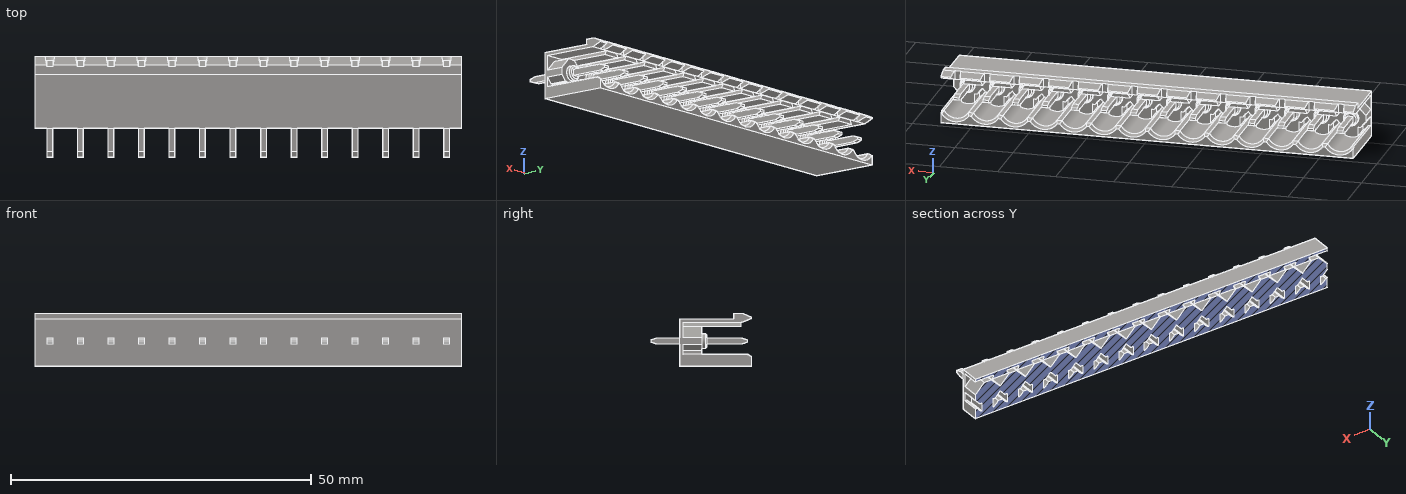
import cadquery as cq


POLE_COUNT = 14
PITCH = 5.08
LENGTH = 71.01
POLE_X = [(i - (POLE_COUNT - 1) / 2) * PITCH for i in range(POLE_COUNT)]
GAP_X = [x + PITCH / 2 for x in POLE_X[:-1]]

DEPTH = 12.0
CAVITY_REAR = 0.6
FLOOR_Z = 2.0
ROOF_BOTTOM = 7.3
ROOF_TOP = 7.9
FLOOR_LEAD_IN_Y = 0.65
FLOOR_LEAD_IN_Z = 0.4

LATCH_TOP = 8.8
LATCH_LENGTH = 3.0
NOSE_Z = 8.05
NOSE_TIP_HEIGHT = 0.2
NOSE_TOP_RUN = 1.45
NOSE_BOTTOM_RUN = 1.6

NOTCH_FRONT_WIDTH = 1.6
NOTCH_REAR_WIDTH = 1.0
NOTCH_DEPTH = 1.65

PIN_Z = 4.2
PIN_SIZE = 1.05
PIN_WIDTH = 1.0
PIN_TAIL = 4.8
PIN_FRONT_RECESS = 0.7
PIN_TIP_HEIGHT = 0.4
PIN_TAPER = 1.0

BLOCK_FRONT = 3.7
BLOCK_SIDE_HALF_HEIGHT = 0.54
BLOCK_BOTTOM_SLOPE_WIDTH = 0.97
BLOCK_NECK_HALF_WIDTH = 1.15
BLOCK_BOTTOM_SLOPE_HEIGHT = 1.05
BLOCK_TOP_HALF_WIDTH = 0.72
COLLAR_RADIUS = 1.25
COLLAR_LENGTH = 0.85
COLLAR_CHAMFER = 0.25

TROUGH_HALF_WIDTH = 2.1
TROUGH_DEPTH = 1.2
TROUGH_RADIUS = (TROUGH_HALF_WIDTH**2 + TROUGH_DEPTH**2) / (2 * TROUGH_DEPTH)

BAR_BOTTOM = 6.6
BAR_FRONT_RECESS = 1.75
BAR_TOP_WIDTH = 2.7
BAR_BOTTOM_WIDTH = 3.4


def extrude_along_x(points, x_start, length):
    """Extrude an outline of (y, z) points in the +X direction."""
    return cq.Workplane("YZ").workplane(offset=x_start).polyline(points).close().extrude(length)


def extrude_along_y(points, y_start, y_end):
    """Extrude an outline of (x, z) points from y_start forward to y_end."""
    plane = cq.Workplane("XZ").workplane(offset=-y_start)
    return plane.polyline(points).close().extrude(y_start - y_end)


def make_housing():
    section = [
        (0, 0),
        (DEPTH, 0),
        (DEPTH, FLOOR_Z - FLOOR_LEAD_IN_Z),
        (DEPTH - FLOOR_LEAD_IN_Y, FLOOR_Z),
        (CAVITY_REAR, FLOOR_Z),
        (CAVITY_REAR, ROOF_BOTTOM),
        (DEPTH - NOSE_BOTTOM_RUN, ROOF_BOTTOM),
        (DEPTH, NOSE_Z - NOSE_TIP_HEIGHT / 2),
        (DEPTH, NOSE_Z + NOSE_TIP_HEIGHT / 2),
        (DEPTH - NOSE_TOP_RUN, LATCH_TOP),
        (DEPTH - LATCH_LENGTH, LATCH_TOP),
        (DEPTH - LATCH_LENGTH, ROOF_TOP),
        (0, ROOF_TOP),
    ]
    return extrude_along_x(section, -LENGTH / 2, LENGTH)


def make_notch(x):
    front = NOTCH_FRONT_WIDTH / 2
    rear = NOTCH_REAR_WIDTH / 2
    y_rear = DEPTH - NOTCH_DEPTH
    outline = [(x - front, DEPTH), (x + front, DEPTH), (x + rear, y_rear), (x - rear, y_rear)]
    height = LATCH_TOP - ROOF_BOTTOM
    return cq.Workplane("XY").workplane(offset=ROOF_BOTTOM).polyline(outline).close().extrude(height)


def make_trough(x):
    centre_z = FLOOR_Z - TROUGH_DEPTH + TROUGH_RADIUS
    front_radius = TROUGH_RADIUS + FLOOR_LEAD_IN_Z
    y_lead_in = DEPTH - FLOOR_LEAD_IN_Y
    axis_plane = cq.Workplane("XY", origin=(x, 0, centre_z))
    half_outline = [
        (0, CAVITY_REAR),
        (TROUGH_RADIUS, CAVITY_REAR),
        (TROUGH_RADIUS, y_lead_in),
        (front_radius, DEPTH),
        (0, DEPTH),
    ]
    return axis_plane.polyline(half_outline).close().revolve(360, (0, 0), (0, 1))


def make_bar(x):
    top = BAR_TOP_WIDTH / 2
    bottom = BAR_BOTTOM_WIDTH / 2
    outline = [
        (x - bottom, BAR_BOTTOM),
        (x + bottom, BAR_BOTTOM),
        (x + top, ROOF_BOTTOM),
        (x - top, ROOF_BOTTOM),
    ]
    return extrude_along_y(outline, CAVITY_REAR, DEPTH - BAR_FRONT_RECESS)


def make_block(x):
    half_width = PITCH / 2
    slope_inner = half_width - BLOCK_BOTTOM_SLOPE_WIDTH
    side_bottom = PIN_Z - BLOCK_SIDE_HALF_HEIGHT
    side_top = PIN_Z + BLOCK_SIDE_HALF_HEIGHT
    slope_bottom = side_bottom - BLOCK_BOTTOM_SLOPE_HEIGHT
    right_side = [
        (BLOCK_NECK_HALF_WIDTH, FLOOR_Z - TROUGH_DEPTH),
        (BLOCK_NECK_HALF_WIDTH, slope_bottom),
        (slope_inner, slope_bottom),
        (half_width, side_bottom),
        (half_width, side_top),
        (BLOCK_TOP_HALF_WIDTH, BAR_BOTTOM),
    ]
    left_side = [(-dx, z) for dx, z in reversed(right_side)]
    outline = [(x + dx, z) for dx, z in right_side + left_side]
    return extrude_along_y(outline, CAVITY_REAR, BLOCK_FRONT)


def make_collar(x):
    return (
        cq.Workplane("XZ")
        .workplane(offset=-BLOCK_FRONT)
        .center(x, PIN_Z)
        .circle(COLLAR_RADIUS)
        .extrude(-COLLAR_LENGTH)
        .faces(">Y")
        .chamfer(COLLAR_CHAMFER)
    )


def make_pin(x):
    half = PIN_SIZE / 2
    tip = PIN_TIP_HEIGHT / 2
    y_front = DEPTH - PIN_FRONT_RECESS
    y_tail = -PIN_TAIL
    top_side = [
        (y_tail, tip),
        (y_tail + PIN_TAPER, half),
        (y_front - PIN_TAPER, half),
        (y_front, tip),
    ]
    bottom_side = [(y, -dz) for y, dz in reversed(top_side)]
    outline = [(y, PIN_Z + dz) for y, dz in top_side + bottom_side]
    return extrude_along_x(outline, x - PIN_WIDTH / 2, PIN_WIDTH)


def make_row(make_feature, x_positions):
    """Collect one copy of a feature at each X position."""
    row = cq.Workplane("XY")
    for x in x_positions:
        row = row.add(make_feature(x))
    return row


def make_block_row():
    """Join the blocks and trim the outermost ones flush with the housing ends."""
    end_limits = cq.Workplane("XY").box(LENGTH, 2 * DEPTH, 2 * LATCH_TOP)
    return make_row(make_block, POLE_X).combine().intersect(end_limits)


result = (
    make_housing()
    .cut(make_row(make_notch, POLE_X))
    .cut(make_row(make_trough, POLE_X))
    .union(make_row(make_bar, GAP_X))
    .union(make_block_row())
    .union(make_row(make_collar, POLE_X))
    .union(make_row(make_pin, POLE_X))
)